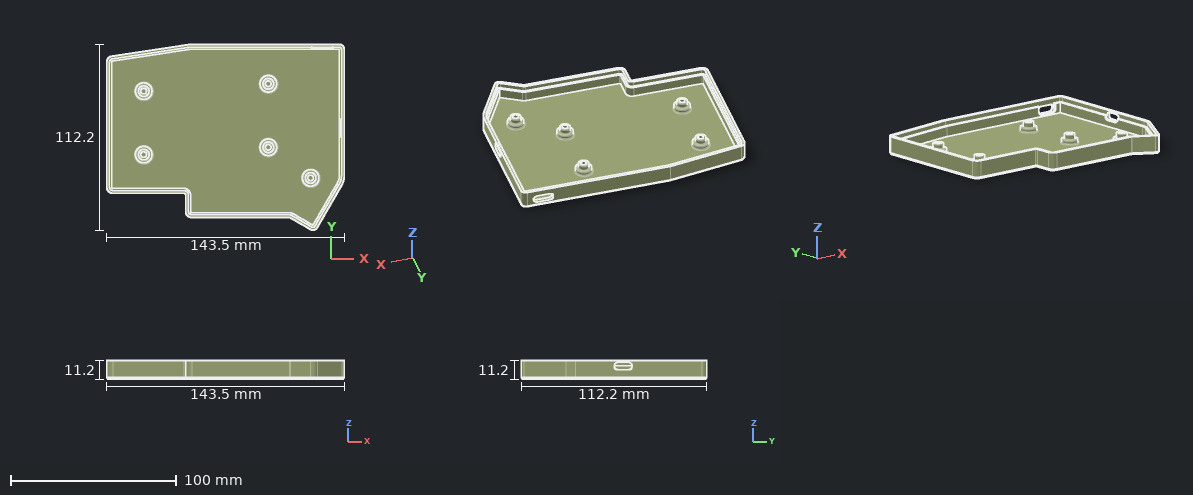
import cadquery as cq
import math

length = 143.5
width = 112.2
height = 11.2

floor_thickness = 1.5
wall_thickness = 3.0
rim_thickness = 1.7
rim_depth = 3.3
chamfer_height = 1.08
chamfer_inset = 0.7
ledge_z = height - rim_depth

step_x = 47.6
step_y = 22.2
front_y = 7.6
tip_x = 124.5
tip_angle = math.radians(30)
slant_drop = 7.6
slant_run = 50.2
corner_radius = 3.7
sharp_radius = 3.0
shoulder_radius = 11.5
inside_radius = 1.0

standoff_centers = [(22.4, 83.9), (22.4, 45.6), (97.5, 88.4), (97.5, 50.0), (123.1, 31.5)]
base_diameter = 10.0
base_height = 2.6
post_diameter = 6.5
standoff_height = 5.7
screw_diameter = 3.5
foot_fillet = 0.65
step_fillet = 0.5

slot_chamfer = 0.5
back_slot_straight = 7.9
back_slot_radius = 2.3
back_slot_x = 130.1
back_slot_z = 5.0
side_slot_straight = 6.5
side_slot_radius = 2.2
side_slot_y = 61.7
side_slot_z = 7.9


def outline_corners():
    """Sharp corners of the outline, counter-clockwise, each with its rounding radius."""
    sin_tip = math.sin(tip_angle)
    cos_tip = math.cos(tip_angle)
    tip = (tip_x + sharp_radius * (cos_tip - sin_tip), sharp_radius * (1 - cos_tip - sin_tip))
    notch_x = tip[0] - (front_y - tip[1]) / math.tan(tip_angle)
    shoulder_y = tip[1] + (length - tip[0]) / math.tan(tip_angle)
    return [
        ((0, step_y), corner_radius),
        ((step_x, step_y), inside_radius),
        ((step_x, front_y), corner_radius),
        ((notch_x, front_y), inside_radius),
        (tip, sharp_radius),
        ((length, shoulder_y), shoulder_radius),
        ((length, width), sharp_radius),
        ((slant_run, width), 0),
        ((0, width - slant_drop), corner_radius),
    ]


def tray_blank():
    corners = outline_corners()
    blank = cq.Workplane("XY").polyline([point for point, _ in corners]).close().extrude(height)
    for (x, y), radius in corners:
        if radius > 0:
            corner_edge = cq.selectors.BoxSelector((x - 0.1, y - 0.1, -1.5), (x + 0.1, y + 0.1, height + 1.5))
            blank = blank.edges("|Z").edges(corner_edge).fillet(radius)
    return blank


def cavity(blank, inset, bottom_z):
    """Space inside the outline, inset by a wall thickness and open at the top."""
    outer_wire = blank.faces(">Z").val().outerWire()
    opening = cq.Workplane(outer_wire).toPending().offset2D(-inset)
    return opening.extrude(bottom_z - height)


def standoff():
    """Stepped post with rounded steps, flared onto the floor, around a screw hole."""
    base_radius = base_diameter / 2
    post_radius = post_diameter / 2
    screw_radius = screw_diameter / 2
    profile = (
        cq.Workplane("XZ")
        .moveTo(screw_radius, 0)
        .lineTo(base_radius + foot_fillet, 0)
        .radiusArc((base_radius, foot_fillet), foot_fillet)
        .lineTo(base_radius, base_height - step_fillet)
        .radiusArc((base_radius - step_fillet, base_height), -step_fillet)
        .lineTo(post_radius + step_fillet, base_height)
        .radiusArc((post_radius, base_height + step_fillet), step_fillet)
        .lineTo(post_radius, standoff_height - step_fillet)
        .radiusArc((post_radius - step_fillet, standoff_height), -step_fillet)
        .lineTo(screw_radius, standoff_height)
        .close()
    )
    return profile.revolve(360, (0, 0, 0), (0, 1, 0))


def slot_cutter(inner_face, straight, radius):
    """Round-ended slot running outward from a wall's inner face.

    The ledge above the slot is notched to the slot's full length, and slot and notch
    are chamfered at the inner face.
    """
    slot_length = straight + 2 * radius
    notch_height = height - inner_face.origin.z
    sketch = cq.Workplane(inner_face)
    notch_sketch = sketch.center(0, notch_height / 2)

    slot = sketch.slot2D(slot_length, 2 * radius).extrude(wall_thickness + 1.5)
    notch = notch_sketch.rect(slot_length, notch_height).extrude(wall_thickness - rim_thickness)

    flare = 2 * slot_chamfer
    slot_mouth = sketch.slot2D(slot_length + flare, 2 * radius + flare).extrude(slot_chamfer, taper=45)
    notch_mouth = notch_sketch.rect(slot_length + flare, notch_height).extrude(slot_chamfer, taper=45)
    return slot.union(notch).union(slot_mouth).union(notch_mouth)


blank = tray_blank()
tray = blank.faces("<Z").chamfer(chamfer_inset, chamfer_height)
tray = tray.cut(cavity(blank, rim_thickness, ledge_z))
tray = tray.cut(cavity(blank, wall_thickness, floor_thickness))

post = standoff()
for x, y in standoff_centers:
    tray = tray.union(post.translate((x, y, floor_thickness)))

back_face = cq.Plane((back_slot_x, width - wall_thickness, back_slot_z), (-1, 0, 0), (0, 1, 0))
side_face = cq.Plane((length - wall_thickness, side_slot_y, side_slot_z), (0, 1, 0), (1, 0, 0))
tray = tray.cut(slot_cutter(back_face, back_slot_straight, back_slot_radius))
tray = tray.cut(slot_cutter(side_face, side_slot_straight, side_slot_radius))

result = tray